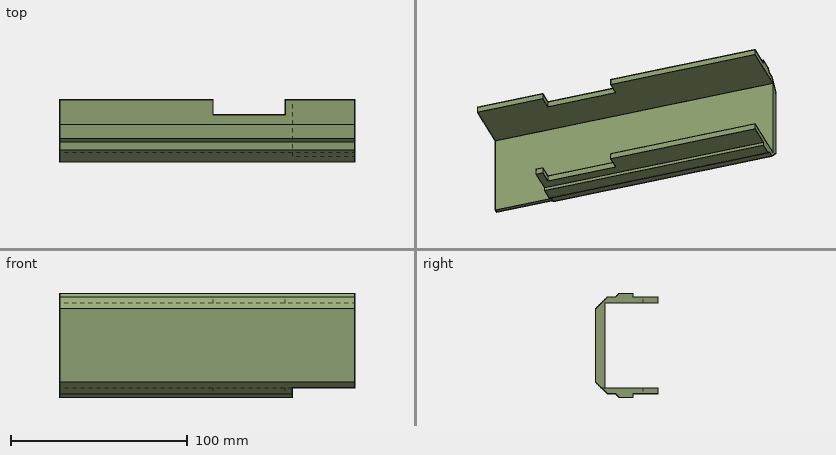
import cadquery as cq

length = 167.1
depth = 35.5
height = 59.0

wall_thickness = 5.5
flange_thickness = 3.5
rib_height = 2.0
rib_back = 21.4
rib_front = 13.4
bevel_depth = 6.9
bevel_height = 6.7

notch_start = 86.9
notch_end = 127.7
notch_depth = 8.5

lower_flange_length = 131.7

rib_top = height / 2
flange_outside = rib_top - rib_height
flange_inside = flange_outside - flange_thickness


def make_half_channel():
    """Upper half of the channel: half of the front wall and one ribbed flange."""
    outline = [
        (0, 0),
        (0, flange_outside - bevel_height),
        (bevel_depth, flange_outside),
        (rib_front - rib_height, flange_outside),
        (rib_front, rib_top),
        (rib_back, rib_top),
        (rib_back, flange_outside),
        (depth, flange_outside),
        (depth, flange_inside),
        (wall_thickness, flange_inside),
        (wall_thickness, 0),
    ]
    return cq.Workplane("YZ").polyline(outline).close().extrude(length)


def make_channel():
    """Full channel, symmetric about mid-height."""
    upper_half = make_half_channel()
    return upper_half.union(upper_half.mirror("XY")).clean()


def make_notch():
    """Block that cuts the same notch through both flanges."""
    return cq.Workplane("XY").box(
        notch_end - notch_start, notch_depth, height, centered=(False, False, True)
    ).translate((notch_start, depth - notch_depth, 0))


def make_lower_flange_cutout():
    """Block that removes the lower flange next to the +X end."""
    return cq.Workplane("XY").box(
        length - lower_flange_length, depth, rib_top - flange_inside, centered=False
    ).translate((lower_flange_length, 0, -rib_top))


result = make_channel().cut(make_notch()).cut(make_lower_flange_cutout())